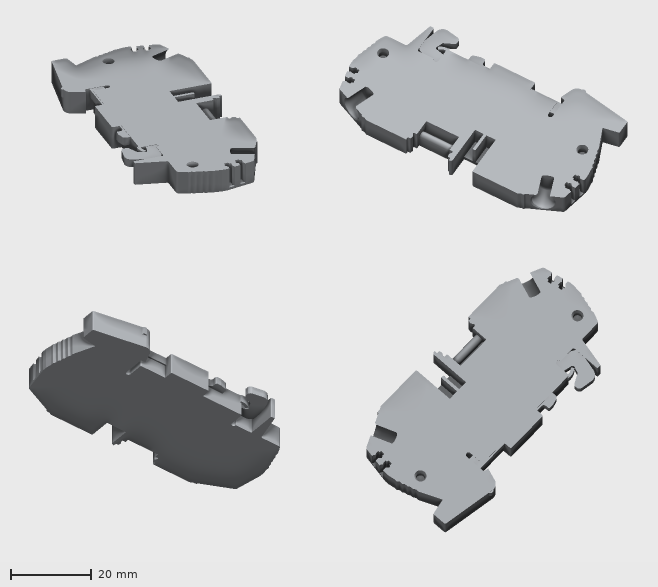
import cadquery as cq


THICKNESS = 6.1
LENGTH = 68.5
HALF_LENGTH = LENGTH / 2
TOP_Y = 36.02
WAIST_HIGH_Y = 23.3
WAIST_LOW_Y = 22.0
CORNER_RADIUS = 0.3

SHOULDER_TOP_X = 21.95
STEP_TOP = (22.7, 35.62)
STEP_EDGE = (23.6, 35.55)
STEP_FOOT = (23.75, 35.16)
SHOULDER_END = (32.7, 31.15)
SHOULDER_RADIUS = 0.9

TOOTH_COUNT = 5
TOOTH_PITCH = 1.447
TOOTH_HEIGHT = 0.88
TOOTH_INSET = 0.415
FIRST_TOOTH = (33.99, 20.36)
GRIP_END = (31.75, 12.35)

NECK = (-29.85, 7.8)
FOOT_TOP_Y = 6.95
FOOT_LOW_Y = 2.93
FOOT_BASE = (-19.5, 0.35)
FOOT_ARC_MID = (-18.15, 0.65)
FOOT_ARC_END = (-17.3, 1.55)
CLAW_TIP = (-16.05, 5.05)
CLAW_UNDERCUT = 0.25
FOOT_RADIUS = 0.4

SLOT_WIDTH = 1.3
SLOT_TOP_Y = 11.76
SLOT_CHAMFER = 0.3
LEFT_SLOT_X = -17.33
RIGHT_SLOT_X = 15.88
SEAT_Y = 6.97
CENTRE_LEFT_X = -8.33
CENTRE_RIGHT_X = 3.6
CENTRE_LOW_Y = 4.47

UNDERSIDE_Y = 11.09
FINGER_LEFT_X = 22.02
FINGER_TIP_RIGHT_X = 23.15
FINGER_TIP_Y = 2.98
FINGER_ROOT_X = 25.1
UNDERSIDE_END_X = 31.1
UNDERSIDE_END_RADIUS = 0.7

SHAFT_LEFT_X = -8.86
SHAFT_RIGHT_X = -2.88
SHAFT_BOTTOM_Y = 24.66
SHAFT_FLOOR_Y = 30.02
SHAFT_FLOOR_Z = 1.0
SHAFT_RIB_LEFT_X = -6.18
SHAFT_RIB_WIDTH = 0.8

BAY_CENTRE_X = 4.16
BAY_HALF_WIDTH = 4.74
BAY_BOTTOM_Y = 28.6
BAY_CHAMFER = 0.42
BAY_FLOOR_Z = 2.0
BAY_LIP = [(4.74, 33.22), (5.58, 33.22), (5.74, 33.55), (5.55, 33.9), (5.25, 34.37), (5.45, 35.23),
           (6.2, 35.23), (6.2, TOP_Y)]
BAR_WIDTH = 2.2
BAR_Y = 31.02
BAR_Z = 3.0

FUNNEL_TILT = 20
FUNNEL_END = (25.79, 27.39)
FUNNEL_RADIUS = 3.0
FUNNEL_LOW_Z = 0.55
FUNNEL_LENGTH = 10
FUNNEL_END_RADIUS = 0.6
FLARE_START = 6.1
FLARE_LENGTH = 0.8
FLARE_WIDENING = 0.6

NOTCH_FLOOR_Z = 0.65
NOTCH_SHIFT = (0.6, -3.09)
NOTCH = [(33.6, 28.62), (32.9, 28.6), (32.35, 28.2), (32.05, 28.4), (31.17, 28.4), (31.17, 27.96),
         (30.65, 27.8), (30.75, 26.73), (31.2, 26.73), (31.35, 26.95), (31.5, 26.54), (32.0, 26.54),
         (32.5, 27.16), (33.9, 27.16)]

HOLE_X = 28.95
HOLE_Y = 16.15
HOLE_DIAMETER = 2.2
HOLE_MOUTH_DIAMETER = 3.0
COUNTERSINK_DEPTH = 1.0
HOLE_DEPTH = 2.5

SPRING_LOW_Z = 3.83
SPRING_HIGH_Z = THICKNESS - 0.1
SPRING_LOW_Y = 6.53
LEG_TOP_Y = 10.25
OVERLAP = 0.5

PIN = [(-20.8, 0.65), (-20.25, 0), (-19.55, 0), (-19.05, 0.45)]
LUG_LEFT_X = 5.97
LUG_RIGHT_X = 9.7
LUG_LOW_Y = 4.65
LUG_NECK_START = (5.2, SPRING_LOW_Y)
LUG_NECK_MID = (5.8, 6.25)
LUG_NECK_END = (LUG_LEFT_X, 5.7)
LUG_BEVEL = 0.3
LUG_FLAT_END = (7.5, LUG_LOW_Y)
LUG_SLOPE_END = (9.2, 5.1)
LUG_CORNER_MID = (9.6, 5.5)
LUG_CORNER_END = (LUG_RIGHT_X, 6.0)
TONGUE_ROOT = (15.1, SEAT_Y)
TONGUE_LOW_START = (15.4, SPRING_LOW_Y)
TONGUE_LOW_MID = (16.9, 6.65)
TONGUE_TIP_LOW = (18.2, 7.3)
TONGUE_TIP_HIGH = (17.8, 8.05)
TONGUE_BEND = (16.6, 7.4)
TONGUE_TOP_Y = 7.3
HOOK_MOUTH_Y = 8.75
HOOK_SHOULDER = [(20.0, UNDERSIDE_Y), (21.2, 10.85), (FINGER_LEFT_X, 10.2)]
HOOK_BACK_LOW = (FINGER_LEFT_X, 7.3)
HOOK_HEEL = [(21.0, 3.3), (20.2, 2.2), (18.65, 1.83)]
HOOK_TOE_LOW = [(15.7, 2.35), (15.0, 2.7), (14.75, 3.1)]
HOOK_TOE_HIGH = [(14.75, 4.1), (15.05, 4.45), (15.5, 4.7)]
HOOK_THROAT = (17.8, 5.8)
HOOK_INNER = [(18.3, 7.2), (18.5, 7.75), (18.2, 8.2)]


def mirrored(points):
    return [(-x, y) for x, y in points]


def prism(outline, low_z, high_z):
    return cq.Workplane("XY").workplane(offset=low_z).polyline(outline).close().extrude(high_z - low_z)


def box(x0, x1, y0, y1, z0, z1):
    return cq.Workplane("XY").box(x1 - x0, y1 - y0, z1 - z0, centered=False).translate((x0, y0, z0))


def round_corner(solid, corner, radius):
    """Round the upright edge of a solid that stands at the given corner."""
    near = cq.selectors.NearestToPointSelector((corner[0], corner[1], THICKNESS / 2))
    return solid.edges("|Z").edges(near).fillet(radius)


def end_profile():
    """Right end from the top edge down to the end of the grip teeth."""
    points = [(SHOULDER_TOP_X, TOP_Y), STEP_TOP, STEP_EDGE, STEP_FOOT, SHOULDER_END,
              (HALF_LENGTH, WAIST_HIGH_Y), (HALF_LENGTH, WAIST_LOW_Y)]
    for i in range(TOOTH_COUNT):
        x = FIRST_TOOTH[0] - i * TOOTH_INSET
        y = FIRST_TOOTH[1] - i * TOOTH_PITCH
        points += [(x, y), (x, y - TOOTH_HEIGHT)]
    return points + [GRIP_END]


def make_housing():
    slot_radius = SLOT_WIDTH / 2
    arc_y = SLOT_TOP_Y - slot_radius
    left_slot_right = LEFT_SLOT_X + SLOT_WIDTH
    right_slot_right = RIGHT_SLOT_X + SLOT_WIDTH
    finger_tip = (FINGER_LEFT_X, FINGER_TIP_Y)
    outline = cq.Workplane("XY").moveTo(-SHOULDER_TOP_X, TOP_Y)
    for point in mirrored(end_profile())[1:]:
        outline = outline.lineTo(*point)
    outline = (
        outline.lineTo(*NECK)
        .lineTo(-HALF_LENGTH, FOOT_TOP_Y)
        .lineTo(-HALF_LENGTH, FOOT_LOW_Y)
        .lineTo(*FOOT_BASE)
        .threePointArc(FOOT_ARC_MID, FOOT_ARC_END)
        .lineTo(*CLAW_TIP)
        .lineTo(LEFT_SLOT_X, CLAW_TIP[1] + CLAW_UNDERCUT)
        .lineTo(LEFT_SLOT_X, arc_y)
        .threePointArc((LEFT_SLOT_X + slot_radius, SLOT_TOP_Y), (left_slot_right, arc_y))
        .lineTo(left_slot_right, SEAT_Y)
        .lineTo(CENTRE_LEFT_X, SEAT_Y)
        .lineTo(CENTRE_LEFT_X, CENTRE_LOW_Y)
        .lineTo(CENTRE_RIGHT_X, CENTRE_LOW_Y)
        .lineTo(CENTRE_RIGHT_X, SEAT_Y)
        .lineTo(RIGHT_SLOT_X, SEAT_Y)
        .lineTo(RIGHT_SLOT_X, arc_y)
        .threePointArc((RIGHT_SLOT_X + slot_radius, SLOT_TOP_Y), (right_slot_right, arc_y))
        .lineTo(right_slot_right + SLOT_CHAMFER, UNDERSIDE_Y)
        .lineTo(FINGER_LEFT_X, UNDERSIDE_Y)
        .lineTo(*finger_tip)
        .lineTo(FINGER_TIP_RIGHT_X, FINGER_TIP_Y)
        .lineTo(FINGER_ROOT_X, UNDERSIDE_Y)
        .lineTo(UNDERSIDE_END_X, UNDERSIDE_Y)
    )
    for point in reversed(end_profile()):
        outline = outline.lineTo(*point)
    housing = outline.close().extrude(THICKNESS)
    for corner in [SHOULDER_END, (-SHOULDER_END[0], SHOULDER_END[1])]:
        housing = round_corner(housing, corner, SHOULDER_RADIUS)
    for corner in [(-HALF_LENGTH, FOOT_TOP_Y), (-HALF_LENGTH, FOOT_LOW_Y), (FINGER_ROOT_X, UNDERSIDE_Y)]:
        housing = round_corner(housing, corner, FOOT_RADIUS)
    housing = round_corner(housing, (UNDERSIDE_END_X, UNDERSIDE_Y), UNDERSIDE_END_RADIUS)
    for corner in [(left_slot_right, SEAT_Y), (CENTRE_LEFT_X, CENTRE_LOW_Y),
                   (CENTRE_RIGHT_X, CENTRE_LOW_Y), (RIGHT_SLOT_X, SEAT_Y),
                   (FINGER_LEFT_X, UNDERSIDE_Y), finger_tip]:
        housing = round_corner(housing, corner, CORNER_RADIUS)
    return housing


def cut_bridge_shaft(housing):
    above = TOP_Y + 1
    housing = housing.cut(box(SHAFT_LEFT_X, SHAFT_RIGHT_X, SHAFT_FLOOR_Y, above, 0, THICKNESS))
    housing = round_corner(housing, (SHAFT_LEFT_X, TOP_Y), CORNER_RADIUS)
    housing = round_corner(housing, (SHAFT_RIGHT_X, TOP_Y), 2 * CORNER_RADIUS)
    rib_right = SHAFT_RIB_LEFT_X + SHAFT_RIB_WIDTH
    for x0, x1 in [(SHAFT_LEFT_X, SHAFT_RIB_LEFT_X), (rib_right, SHAFT_RIGHT_X)]:
        housing = housing.cut(box(x0, x1, SHAFT_BOTTOM_Y, SHAFT_FLOOR_Y, SHAFT_FLOOR_Z, THICKNESS))
    return housing


def cut_marker_bay(housing):
    right = [(BAY_CENTRE_X + x, y) for x, y in BAY_LIP]
    left = [(BAY_CENTRE_X - x, y) for x, y in reversed(BAY_LIP)]
    left_x = BAY_CENTRE_X - BAY_HALF_WIDTH
    right_x = BAY_CENTRE_X + BAY_HALF_WIDTH
    housing = housing.cut(prism(left + [(left_x, BAR_Y), (right_x, BAR_Y)] + right, 0, THICKNESS))
    wall = [(BAY_BOTTOM_Y, THICKNESS), (BAY_BOTTOM_Y + BAY_CHAMFER, BAY_FLOOR_Z),
            (BAR_Y, BAY_FLOOR_Z), (BAR_Y, THICKNESS)]
    bay = cq.Workplane("YZ").workplane(offset=left_x).polyline(wall).close().extrude(2 * BAY_HALF_WIDTH)
    radius = BAR_WIDTH / 2
    bar = (cq.Workplane("YZ").workplane(offset=left_x)
           .moveTo(BAR_Y - radius, 0).lineTo(BAR_Y - radius, BAR_Z)
           .threePointArc((BAR_Y, BAR_Z + radius), (BAR_Y + radius, BAR_Z))
           .lineTo(BAR_Y + radius, 0).close().extrude(2 * BAY_HALF_WIDTH))
    return housing.cut(bay).union(bar)


def make_funnel():
    """Tilted round bore of the right shoulder that breaks open the top face."""
    centre_z = FUNNEL_LOW_Z + FUNNEL_RADIUS
    bore = cq.Workplane("XZ").circle(FUNNEL_RADIUS).extrude(-FUNNEL_LENGTH)
    bore = bore.faces("<Y").edges().fillet(FUNNEL_END_RADIUS)
    flare = (cq.Workplane("XZ").workplane(offset=-FLARE_START).circle(FUNNEL_RADIUS)
             .workplane(offset=-FLARE_LENGTH).circle(FUNNEL_RADIUS + FLARE_WIDENING).loft())
    bore = bore.union(flare).translate((0, 0, centre_z))
    return bore.rotate((0, 0, 0), (0, 0, 1), -FUNNEL_TILT).translate((*FUNNEL_END, 0))


def cut_both_ends(housing, tool):
    return housing.cut(tool).cut(tool.mirror("YZ"))


def cut_label_notches(housing):
    for i in range(2):
        outline = [(x + i * NOTCH_SHIFT[0], y + i * NOTCH_SHIFT[1]) for x, y in NOTCH]
        housing = cut_both_ends(housing, prism(outline, NOTCH_FLOOR_Z, THICKNESS))
    return housing


def make_hole():
    profile = [(0, THICKNESS), (HOLE_MOUTH_DIAMETER / 2, THICKNESS),
               (HOLE_DIAMETER / 2, THICKNESS - COUNTERSINK_DEPTH),
               (HOLE_DIAMETER / 2, THICKNESS - HOLE_DEPTH), (0, THICKNESS - HOLE_DEPTH)]
    hole = cq.Workplane("XZ").polyline(profile).close().revolve(360, (0, 0), (0, 1))
    return hole.translate((HOLE_X, HOLE_Y, 0))


def spring_plane():
    return cq.Workplane("XY").workplane(offset=SPRING_LOW_Z)


def spring_prism(sketch):
    return sketch.close().extrude(SPRING_HIGH_Z - SPRING_LOW_Z)


def line_and_arc(sketch, arc):
    """Continue a sketch straight to the start of a three-point arc and then along it."""
    return sketch.lineTo(*arc[0]).threePointArc(arc[1], arc[2])


def make_left_spring():
    """Leg in the left slot and strip under the rail seat, tied into the slot corner."""
    leg_right = LEFT_SLOT_X + SLOT_WIDTH
    leg = box(LEFT_SLOT_X, leg_right, SPRING_LOW_Y, LEG_TOP_Y, SPRING_LOW_Z, SPRING_HIGH_Z)
    strip = box(LEFT_SLOT_X, CENTRE_LEFT_X, SPRING_LOW_Y, SEAT_Y, SPRING_LOW_Z, SPRING_HIGH_Z)
    corner = box(leg_right, leg_right + OVERLAP, SEAT_Y, SEAT_Y + OVERLAP, SPRING_LOW_Z, SPRING_HIGH_Z)
    return leg.union(strip).union(corner)


def make_lug():
    """Strip under the rail seat that ends in a rounded lug."""
    sketch = spring_plane().moveTo(CENTRE_RIGHT_X, SEAT_Y).lineTo(CENTRE_RIGHT_X, SPRING_LOW_Y)
    sketch = line_and_arc(sketch, [LUG_NECK_START, LUG_NECK_MID, LUG_NECK_END])
    sketch = sketch.lineTo(LUG_LEFT_X, LUG_LOW_Y + LUG_BEVEL).lineTo(LUG_LEFT_X + LUG_BEVEL, LUG_LOW_Y)
    sketch = sketch.lineTo(*LUG_FLAT_END)
    sketch = line_and_arc(sketch, [LUG_SLOPE_END, LUG_CORNER_MID, LUG_CORNER_END])
    return spring_prism(sketch.lineTo(LUG_RIGHT_X, SEAT_Y))


def make_tongue():
    """Curved spring end that projects past the rail seat towards the hook."""
    sketch = spring_plane().moveTo(*TONGUE_ROOT)
    sketch = line_and_arc(sketch, [TONGUE_LOW_START, TONGUE_LOW_MID, TONGUE_TIP_LOW])
    sketch = sketch.lineTo(*TONGUE_TIP_HIGH).lineTo(*TONGUE_BEND)
    return spring_prism(sketch.lineTo(RIGHT_SLOT_X - OVERLAP, TONGUE_TOP_Y))


def make_hook():
    """Rail hook that fills the right slot and curls back under the rail seat."""
    slot_radius = SLOT_WIDTH / 2
    slot_right = RIGHT_SLOT_X + SLOT_WIDTH
    arc_y = SLOT_TOP_Y - slot_radius
    sketch = spring_plane().moveTo(RIGHT_SLOT_X, HOOK_MOUTH_Y)
    sketch = line_and_arc(
        sketch, [(RIGHT_SLOT_X, arc_y), (RIGHT_SLOT_X + slot_radius, SLOT_TOP_Y), (slot_right, arc_y)]
    )
    sketch = sketch.lineTo(slot_right + SLOT_CHAMFER, UNDERSIDE_Y)
    sketch = line_and_arc(sketch, HOOK_SHOULDER).lineTo(*HOOK_BACK_LOW)
    for arc in [HOOK_HEEL, HOOK_TOE_LOW, HOOK_TOE_HIGH]:
        sketch = line_and_arc(sketch, arc)
    sketch = sketch.lineTo(*HOOK_THROAT)
    return spring_prism(line_and_arc(sketch, HOOK_INNER))


housing = make_housing()
housing = cut_bridge_shaft(housing)
housing = cut_marker_bay(housing)
housing = cut_both_ends(housing, make_funnel())
housing = cut_label_notches(housing)
housing = cut_both_ends(housing, make_hole())
pin = prism(PIN, SPRING_LOW_Z, SPRING_HIGH_Z)
for spring_part in [make_left_spring(), pin, make_lug(), make_tongue(), make_hook()]:
    housing = housing.union(spring_part)
result = housing